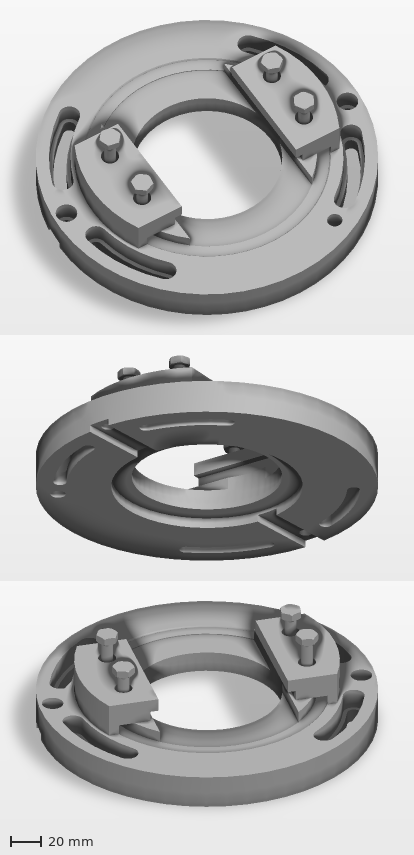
import cadquery as cq
import math

PLATE_RADIUS = 113.0
PLATE_HEIGHT = 22.5
SEAT_RADIUS = 81.0
SEAT_CHAMFER = 1.0
SEAT_HEIGHT = 7.0
LEDGE_BORE_RADIUS = 63.3
KEYWAY_WIDTH = 15.8
KEYWAY_DEPTH = 4.7

SLOT_PITCH_RADIUS = 97.2
SLOT_MID_ANGLE = 59.0
SLOT_HALF_SPAN = 16.3
SLOT_WIDTH = 8.8
POCKET_WIDTH = 14.2
POCKET_DEPTH = 13.5
BOLT_HOLE_PITCH_RADIUS = 103.5
INDEX_HOLE_PITCH_RADIUS = 99.0
INDEX_HOLE_ANGLE = 32.0
INDEX_HOLE_DIAMETER = 10.2

DISC_ANGLE = 5.4
RIM_Z = PLATE_HEIGHT - SEAT_CHAMFER
DISC_BORE_RADIUS = 49.7
FLOOR_RADIUS = 72.8
FLOOR_SINK = 0.7
FLOOR_Z = RIM_Z - FLOOR_SINK
SEGMENT_TOP = PLATE_HEIGHT + 6.8
SEGMENT_INNER_Y = 47.5

CLAMP_WIDTH = 80.0
CLAMP_TOP = 45.2
CLAMP_INNER_Y = 44.3
CLAMP_OUTER_RADIUS = 87.7
LIP_LENGTH = 5.5
LIP_BOTTOM = 36.4
CLAMP_HOLE_DIAMETER = 12.0

BOLT_X = 20.1
BOLT_Y = 62.8
SHANK_DIAMETER = 8.0
SHANK_LENGTH = 40.0
HEAD_HEIGHT = 5.2
HEAD_WIDTH = 13.0
HEAD_CORNER_DIAMETER = HEAD_WIDTH / math.cos(math.pi / 6)
HEAD_CHAMFER = 0.7
BOLTS = [
    (-1, 1, 62.0, 10.0),
    (1, 1, 64.0, 32.0),
    (-1, -1, 66.7, 20.0),
    (1, -1, 62.4, -8.0),
]


def cylinder(radius, bottom, top):
    return cq.Workplane("XY").workplane(offset=bottom).circle(radius).extrude(top - bottom)


def box(x_min, x_max, y_min, y_max, bottom, top):
    corner = (x_min, y_min, bottom)
    return cq.Workplane("XY").box(x_max - x_min, y_max - y_min, top - bottom, centered=False).translate(corner)


def polar(radius, angle):
    return radius * math.cos(math.radians(angle)), radius * math.sin(math.radians(angle))


def arc_slot(mid_angle, width, bottom, top):
    """Slot with round ends that follows the slot pitch circle."""
    inner = SLOT_PITCH_RADIUS - width / 2
    outer = SLOT_PITCH_RADIUS + width / 2
    start = mid_angle - SLOT_HALF_SPAN
    end = mid_angle + SLOT_HALF_SPAN
    end_tangent_angle = math.degrees(width / 2 / SLOT_PITCH_RADIUS)
    outline = (
        cq.Workplane("XY")
        .workplane(offset=bottom)
        .moveTo(*polar(inner, start))
        .threePointArc(polar(inner, mid_angle), polar(inner, end))
        .threePointArc(polar(SLOT_PITCH_RADIUS, end + end_tangent_angle), polar(outer, end))
        .threePointArc(polar(outer, mid_angle), polar(outer, start))
        .threePointArc(polar(SLOT_PITCH_RADIUS, start - end_tangent_angle), polar(inner, start))
        .close()
    )
    return outline.extrude(top - bottom)


def make_plate():
    plate = cylinder(PLATE_RADIUS, 0, PLATE_HEIGHT)
    plate = plate.cut(cylinder(LEDGE_BORE_RADIUS, 0, PLATE_HEIGHT))
    plate = plate.cut(cylinder(SEAT_RADIUS, SEAT_HEIGHT, PLATE_HEIGHT))
    plate = plate.edges(cq.selectors.RadiusNthSelector(1)).edges(">Z").chamfer(SEAT_CHAMFER)

    half_keyway = KEYWAY_WIDTH / 2
    plate = plate.cut(box(-half_keyway, half_keyway, -PLATE_RADIUS, PLATE_RADIUS, 0, KEYWAY_DEPTH))

    pocket_floor = PLATE_HEIGHT - POCKET_DEPTH
    for mid_angle in (SLOT_MID_ANGLE, 180 - SLOT_MID_ANGLE, 180 + SLOT_MID_ANGLE, -SLOT_MID_ANGLE):
        plate = plate.cut(arc_slot(mid_angle, SLOT_WIDTH, 0, PLATE_HEIGHT))
        plate = plate.cut(arc_slot(mid_angle, POCKET_WIDTH, pocket_floor, PLATE_HEIGHT))

    for side in (-1, 1):
        center = (0, side * BOLT_HOLE_PITCH_RADIUS, 0)
        plate = plate.cut(cylinder(SLOT_WIDTH / 2, 0, PLATE_HEIGHT).translate(center))
        plate = plate.cut(cylinder(POCKET_WIDTH / 2, pocket_floor, PLATE_HEIGHT).translate(center))

    index_hole = cylinder(INDEX_HOLE_DIAMETER / 2, 0, PLATE_HEIGHT)
    return plate.cut(index_hole.translate((*polar(INDEX_HOLE_PITCH_RADIUS, INDEX_HOLE_ANGLE), 0)))


def make_disc():
    disc = cylinder(SEAT_RADIUS, SEAT_HEIGHT, RIM_Z)
    disc = disc.cut(cylinder(FLOOR_RADIUS, FLOOR_Z, RIM_Z))

    gap = box(-FLOOR_RADIUS, FLOOR_RADIUS, -SEGMENT_INNER_Y, SEGMENT_INNER_Y, FLOOR_Z, SEGMENT_TOP)
    disc = disc.union(cylinder(FLOOR_RADIUS, FLOOR_Z, SEGMENT_TOP).cut(gap))
    disc = disc.cut(cylinder(DISC_BORE_RADIUS, SEAT_HEIGHT, SEGMENT_TOP))

    for x_side, y_side, head_top, _ in BOLTS:
        tip_z = head_top - HEAD_HEIGHT - SHANK_LENGTH
        hole = cylinder(SHANK_DIAMETER / 2, tip_z, SEGMENT_TOP)
        disc = disc.cut(hole.translate((x_side * BOLT_X, y_side * BOLT_Y, 0)))
    return disc


def make_clamp():
    """Clamp on the +Y side of the disc."""
    half_width = CLAMP_WIDTH / 2
    clamp = cylinder(CLAMP_OUTER_RADIUS, PLATE_HEIGHT, CLAMP_TOP)
    clamp = clamp.intersect(
        box(-half_width, half_width, CLAMP_INNER_Y, CLAMP_OUTER_RADIUS, PLATE_HEIGHT, CLAMP_TOP)
    )

    clamp = clamp.cut(cylinder(SEAT_RADIUS + SEAT_CHAMFER, PLATE_HEIGHT, SEGMENT_TOP))

    notch_end = CLAMP_INNER_Y + LIP_LENGTH
    clamp = clamp.cut(box(-half_width, half_width, CLAMP_INNER_Y, notch_end, PLATE_HEIGHT, LIP_BOTTOM))

    for side in (-1, 1):
        hole = cylinder(CLAMP_HOLE_DIAMETER / 2, PLATE_HEIGHT, CLAMP_TOP)
        clamp = clamp.cut(hole.translate((side * BOLT_X, BOLT_Y, 0)))
    return clamp


def make_bolt(head_top, turn):
    """Bolt on the Z axis with its head top at the given height."""
    head_bottom = head_top - HEAD_HEIGHT
    head = (
        cq.Workplane("XY")
        .workplane(offset=head_bottom)
        .polygon(6, HEAD_CORNER_DIAMETER)
        .extrude(HEAD_HEIGHT)
        .rotate((0, 0, 0), (0, 0, 1), turn)
    )
    rounding = cylinder(HEAD_CORNER_DIAMETER / 2, head_bottom, head_top).edges().chamfer(HEAD_CHAMFER)
    shank = cylinder(SHANK_DIAMETER / 2, head_bottom - SHANK_LENGTH, head_bottom)
    return head.intersect(rounding).union(shank)


def turned_with_disc(body, extra_angle=0):
    return body.rotate((0, 0, 0), (0, 0, 1), DISC_ANGLE + extra_angle)


plate = make_plate()
disc = turned_with_disc(make_disc())
clamps = [turned_with_disc(make_clamp(), half_turn) for half_turn in (0, 180)]
bolts = [
    turned_with_disc(make_bolt(head_top, turn).translate((x_side * BOLT_X, y_side * BOLT_Y, 0)))
    for x_side, y_side, head_top, turn in BOLTS
]

result = cq.Compound.makeCompound([body.val() for body in [plate, disc, *clamps, *bolts]])